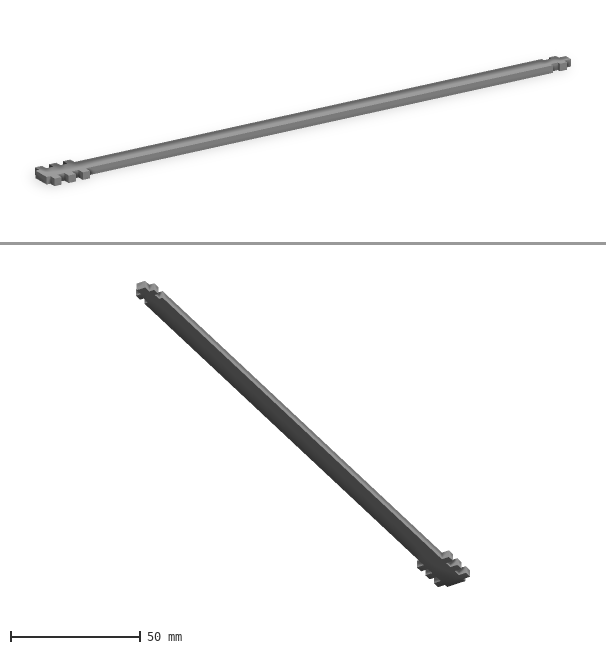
import cadquery as cq

length = 240.0
thickness = 3.0
overall_width = 14.5

tab_reach = 3.0
tab_count = 3
tab_row_length = 16.0
first_tab_offset = 1.7
tab_length = tab_row_length / (2 * tab_count - 1)
tab_pitch = 2 * tab_length

head_length = 9.5
neck_width = 5.0
tip_width = 3.8

body_width = overall_width - 2 * tab_reach
body_length = length - head_length


def centred_bar(width, start, bar_length):
    """Flat bar centred on X, running in +Y from start."""
    bar = cq.Workplane("XY").box(width, bar_length, thickness, centered=(True, False, True))
    return bar.translate((0, start, 0))


y_end = -length / 2
result = centred_bar(body_width, y_end, body_length)

head_widths = [neck_width, body_width, tip_width]
step_length = head_length / len(head_widths)
for i, step_width in enumerate(head_widths):
    step_start = y_end + body_length + i * step_length
    result = result.union(centred_bar(step_width, step_start, step_length))

for i in range(tab_count):
    tab_start = y_end + first_tab_offset + i * tab_pitch
    result = result.union(centred_bar(overall_width, tab_start, tab_length))